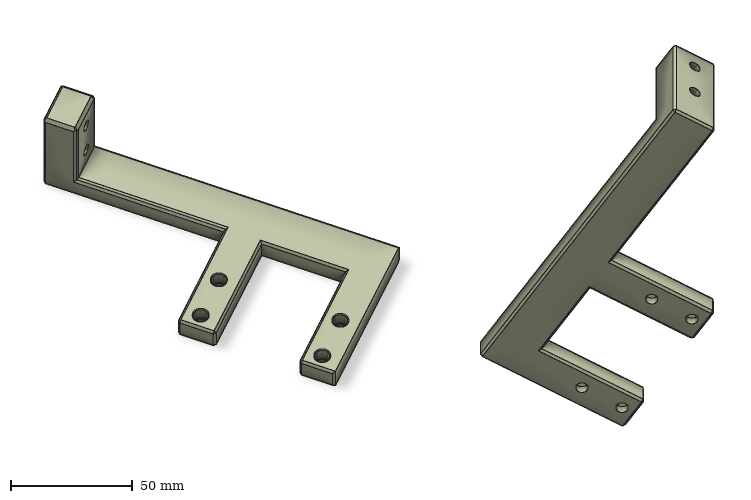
import cadquery as cq

length = 150.34
depth = 70.0
height = 45.0

arm_width = 20.0
arm_thickness = 10.0
post_length = 15.0
leg_width = 16.8
leg_pitch = 54.1
first_leg_x = 80.5
edge_chamfer = 1.0
post_top_chamfer = 1.4

bevel_front_drop = 1.5
bevel_ridge_drop = 0.5
bevel_ridge_setback = 1.0
bevel_end_setback = 2.0

post_hole_diameter = 5.0
leg_hole_diameter = 5.0
leg_bore_diameter = 6.1
leg_bore_depth = 6.0
leg_bore_chamfer = 0.45
first_leg_hole_x = 88.2
leg_hole_ys = (6.25, 25.75)
post_hole_zs = (19.0, 36.0)

arm_front_y = depth - arm_width
arm_center_y = depth - arm_width / 2


def make_leg_block(x_start, x_end):
    """Square-edged leg, from its free end to the middle of the arm."""
    block = cq.Workplane("XY").box(x_end - x_start, arm_center_y, arm_thickness, centered=False)
    return block.translate((x_start, 0, 0))


def make_body():
    """L-shaped arm and post, chamfered all round except at the square far end and the inner corner."""
    profile = [
        (0, 0),
        (length, 0),
        (length, arm_thickness),
        (post_length, arm_thickness),
        (post_length, height),
        (0, height),
    ]
    body = cq.Workplane("XZ", origin=(0, depth, 0)).polyline(profile).close().extrude(arm_width)
    body = body.edges("(<X or |X or |Z) exc (>X or (>Z and |X))").chamfer(edge_chamfer)
    return body.faces(">Z").edges("not <X").chamfer(post_top_chamfer)


def make_inner_bevel():
    """Waste along the front inner edge of the L, mitred in the corner and ending inside the first leg."""
    bevel_end_x = first_leg_x + leg_width / 2

    def offset_path(y, drop):
        return [
            (post_length - drop, y, height),
            (post_length - drop, y, arm_thickness - drop),
            (bevel_end_x, y, arm_thickness - drop),
            (bevel_end_x, y, height),
        ]

    def loft_facet(y_start, drop_start, y_end, drop_end):
        wires = [
            cq.Wire.makePolygon([cq.Vector(*p) for p in offset_path(y, drop)], close=True)
            for y, drop in ((y_start, drop_start), (y_end, drop_end))
        ]
        return cq.Workplane(cq.Solid.makeLoft(wires, True))

    ridge_y = arm_front_y + bevel_ridge_setback
    end_y = arm_front_y + bevel_end_setback
    lower_facet = loft_facet(arm_front_y, bevel_front_drop, ridge_y, bevel_ridge_drop)
    upper_facet = loft_facet(ridge_y, bevel_ridge_drop, end_y, 0)
    return lower_facet.union(upper_facet)


def make_leg(x_start):
    """Free-standing leg with all its long edges chamfered."""
    leg = make_leg_block(x_start, x_start + leg_width)
    return leg.edges("|Y or <Y").chamfer(edge_chamfer)


def make_end_leg(x_start):
    """Leg flush with the far end of the arm, where its outer long edges stay square."""
    leg = make_leg_block(x_start, length)
    return leg.edges("(<X and |Y) or <Y").chamfer(edge_chamfer)


def make_leg_hole(x, y):
    """Vertical stepped hole: a wider bore with a chamfered mouth above a through hole."""
    hole_radius = leg_hole_diameter / 2
    bore_radius = leg_bore_diameter / 2
    half_section = [
        (0, 0),
        (hole_radius, 0),
        (hole_radius, arm_thickness - leg_bore_depth),
        (bore_radius, arm_thickness - leg_bore_depth),
        (bore_radius, arm_thickness - leg_bore_chamfer),
        (bore_radius + leg_bore_chamfer, arm_thickness),
        (0, arm_thickness),
    ]
    hole = cq.Workplane("XZ").polyline(half_section).close().revolve(360, (0, 0), (0, 1))
    return hole.translate((x, y, 0))


def make_post_hole(z):
    """Through hole along X in the post."""
    start = cq.Vector(0, arm_center_y, z)
    along_x = cq.Vector(1, 0, 0)
    return cq.Workplane(cq.Solid.makeCylinder(post_hole_diameter / 2, post_length, start, along_x))


result = make_body().cut(make_inner_bevel())
result = result.union(make_leg(first_leg_x)).union(make_end_leg(first_leg_x + leg_pitch))
for hole_x in (first_leg_hole_x, first_leg_hole_x + leg_pitch):
    for hole_y in leg_hole_ys:
        result = result.cut(make_leg_hole(hole_x, hole_y))
for hole_z in post_hole_zs:
    result = result.cut(make_post_hole(hole_z))